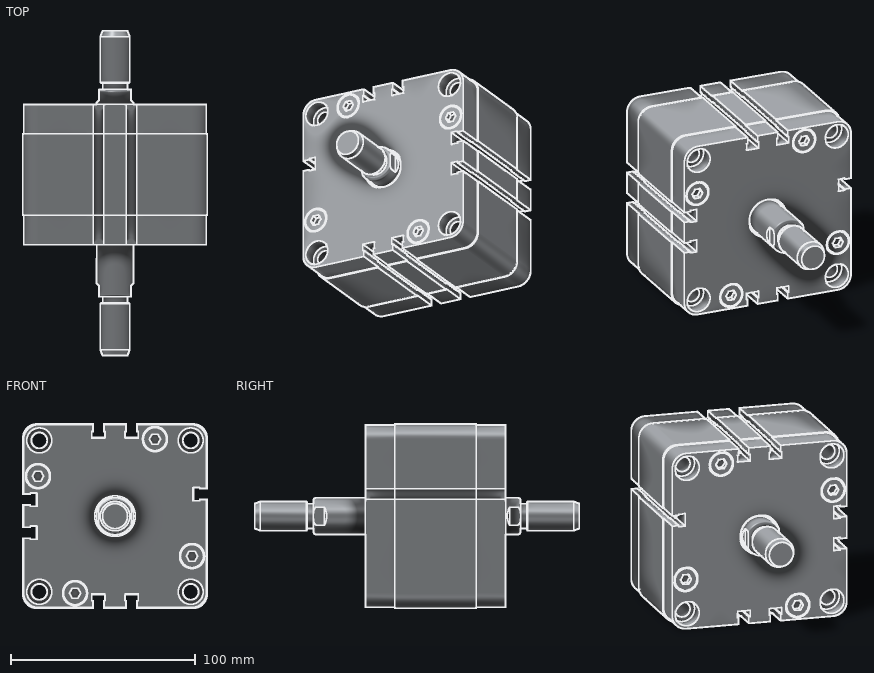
import cadquery as cq

overall_length = 176.0
rear_tip = overall_length / 2
front_face = -28.0
rear_face = 48.0
cap_thickness = 16.0

barrel_width = 100.0
cap_inset = 0.5
corner_radius = 8.0

slot_mouth_width = 5.8
slot_channel_width = 7.0
slot_floor = 42.6
slot_step = 46.3
slot_offset = 9.0
right_slot_offset = 12.0

mount_pitch = 82.0
mount_diameter = 8.5
mount_bore_diameter = 13.5
mount_bore_depth = 8.6

screw_edge_distance = 41.7
screw_side_distance = 21.6
screw_bore_diameter = 13.5
screw_head_diameter = 12.5
screw_gap_depth = 1.8
hex_across_corners = 6.2
hex_depth = 3.5

rod_diameter = 20.0
rod_recess_diameter = 22.0
rod_recess_depth = 1.8
thread_diameter = 16.0
thread_tip_diameter = 13.5
thread_tip_length = 3.2
undercut_diameter = 13.5
stud_length = 31.9
undercut_length = 3.3
thread_end_chamfer = 0.5
shoulder_fillet = 1.5
wrench_flat_width = 17.6
wrench_flat_length = 6.0
wrench_ramp = 1.4


def slot_cutter(inset, offset, angle, y_start, y_end):
    """T-slot along Y, at an offset on the top side, turned about Y."""
    floor = slot_floor - inset
    step = slot_step - inset
    length = y_end - y_start
    base = cq.Workplane("XY", origin=(offset, (y_start + y_end) / 2, floor))
    along_slot = (True, True, False)
    channel = base.box(slot_channel_width, length, step - floor, centered=along_slot)
    mouth = base.box(slot_mouth_width, length, barrel_width / 2 - floor, centered=along_slot)
    return channel.union(mouth).rotate((0, 0, 0), (0, 1, 0), angle)


def slotted_block(inset, y_start, y_end):
    """Rounded square block with its slots; inset shifts sides and slot floors inward."""
    width = barrel_width - 2 * inset
    length = y_end - y_start
    block = cq.Workplane("XY").box(width, length, width).edges("|Y").fillet(corner_radius)
    block = block.translate((0, y_start + length / 2, 0))
    for angle in (0, 180, 270):
        for offset in (-slot_offset, slot_offset):
            block = block.cut(slot_cutter(inset, offset, angle, y_start, y_end))
    return block.cut(slot_cutter(inset, -right_slot_offset, 90, y_start, y_end))


def cylinder(diameter, y_start, y_end, x=0, z=0):
    """Cylinder parallel to Y between two Y stations."""
    base = cq.Workplane("XZ", origin=(x, y_start, z))
    return base.circle(diameter / 2).extrude(y_start - y_end)


def housing():
    """Barrel between two slightly smaller caps."""
    barrel_front = front_face + cap_thickness
    barrel_rear = rear_face - cap_thickness
    barrel = slotted_block(0, barrel_front, barrel_rear)
    front_cap = slotted_block(cap_inset, front_face, barrel_front)
    rear_cap = slotted_block(cap_inset, barrel_rear, rear_face)
    return barrel.union(front_cap).union(rear_cap)


def cut_mounting_holes(body):
    """Corner through holes, counterbored in both caps."""
    half_pitch = mount_pitch / 2
    for x in (-half_pitch, half_pitch):
        for z in (-half_pitch, half_pitch):
            body = body.cut(cylinder(mount_diameter, front_face, rear_face, x, z))
            body = body.cut(cylinder(mount_bore_diameter, front_face, front_face + mount_bore_depth, x, z))
            body = body.cut(cylinder(mount_bore_diameter, rear_face - mount_bore_depth, rear_face, x, z))
    return body


def cut_cap_face(body, face, inward):
    """Screw heads and rod recess in one cap; inward is the Y direction into it."""
    far, near = screw_edge_distance, screw_side_distance
    for x, z in ((near, far), (far, -near), (-near, -far), (-far, near)):
        gap_floor = face + inward * screw_gap_depth
        gap = cylinder(screw_bore_diameter, face, gap_floor, x, z)
        gap = gap.cut(cylinder(screw_head_diameter, face, gap_floor, x, z))
        socket = cq.Workplane("XZ", origin=(x, face, z)).polygon(6, hex_across_corners)
        body = body.cut(gap).cut(socket.extrude(-inward * hex_depth))
    return body.cut(cylinder(rod_recess_diameter, face, face + inward * rod_recess_depth))


def rod():
    """Round rod with wrench flats and a threaded stud at each end."""
    shoulder = rear_tip - stud_length
    bar = cylinder(rod_diameter, -shoulder, shoulder).edges().fillet(shoulder_fillet)
    flat_start = shoulder - wrench_flat_length
    ramp_end = flat_start - wrench_ramp
    half_flat = wrench_flat_width / 2
    outer = half_flat + wrench_ramp
    for end in (1, -1):
        for side in (1, -1):
            cutter = cq.Workplane("XY").polyline([
                (side * half_flat, end * shoulder),
                (side * half_flat, end * flat_start),
                (side * outer, end * ramp_end),
                (side * outer, end * shoulder),
            ]).close().extrude(rod_diameter / 2, both=True)
            bar = bar.cut(cutter)
        bar = bar.union(stud(end * shoulder, end))
    return bar


def stud(shoulder, outward):
    """Undercut and chamfered thread cylinder, revolved about Y."""
    thread_start = shoulder + outward * undercut_length
    tip = shoulder + outward * stud_length
    thread_radius = thread_diameter / 2
    profile = cq.Workplane("XY").polyline([
        (0, shoulder),
        (undercut_diameter / 2, shoulder),
        (undercut_diameter / 2, thread_start),
        (thread_radius - thread_end_chamfer, thread_start),
        (thread_radius, thread_start + outward * thread_end_chamfer),
        (thread_radius, tip - outward * thread_tip_length),
        (thread_tip_diameter / 2, tip),
        (0, tip),
    ]).close()
    return profile.revolve(360, (0, 0, 0), (0, 1, 0))


body = cut_mounting_holes(housing())
body = cut_cap_face(body, front_face, 1)
body = cut_cap_face(body, rear_face, -1)
result = body.union(rod())